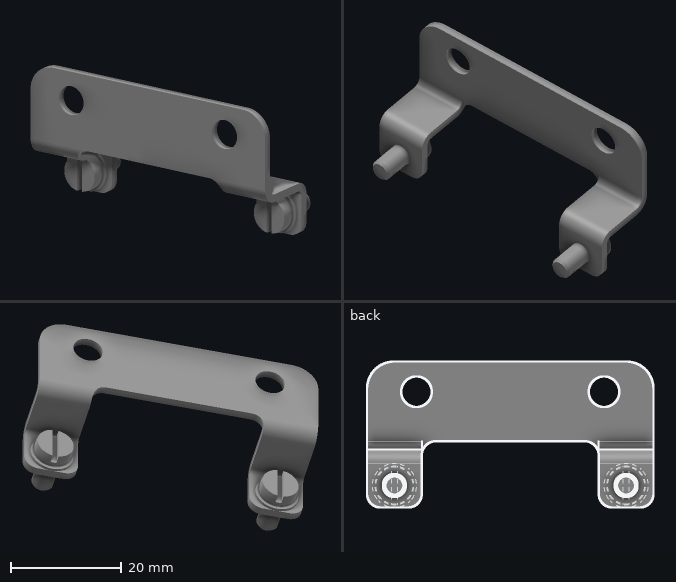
import cadquery as cq
import math


bracket_length = 52.0
bracket_height = 26.5
bracket_depth = 13.0
sheet = 1.5
plate_bend_inner = 1.5
tab_bend_inner = 1.0
plate_bend_outer = plate_bend_inner + sheet
tab_bend_outer = tab_bend_inner + sheet
plate_bend_angle = 225
tab_bend_angle = 45
web_bottom = 9.0
web_top = web_bottom + sheet
plate_bottom = web_bottom + plate_bend_outer
tab_front = bracket_depth - sheet
tab_width = 10.0
tab_corner_radius = 2.5
notch_corner_radius = 2.5
plate_corner_radius = 5.0

mount_hole_diameter = 5.5
mount_hole_spacing = 34.0
mount_hole_drop = 5.5

screw_spacing = bracket_length - tab_width
screw_height = 4.0
screw_xs = (-screw_spacing / 2, screw_spacing / 2)
clearance_diameter = 4.2
washer_diameter = 8.0
washer_thickness = 0.5
washer_front = tab_front - washer_thickness
shank_diameter = 4.0
shank_tip = 19.0
tip_chamfer_length = 0.45
tip_chamfer_depth = 0.35
head_rim_diameter = 6.75
head_belly_diameter = 7.0
head_height = 2.65
head_front = washer_front - head_height
slot_width = 1.1
slot_depth = 1.55


def arc_middle(centre_y, centre_z, radius, degrees):
    """Point on a bend arc at the given angle, measured from +Y towards +Z."""
    angle = math.radians(degrees)
    return (centre_y + radius * math.cos(angle), centre_z + radius * math.sin(angle))


def rod_along_y(x, z, diameter, y_start, y_end):
    """Cylinder lying along Y."""
    return cq.Workplane(
        cq.Solid.makeCylinder(diameter / 2, y_end - y_start, cq.Vector(x, y_start, z), cq.Vector(0, 1, 0))
    )


def make_bent_sheet():
    """Z-shaped section of plate, web and tab, extruded over the full length."""
    plate_bend_y, plate_bend_z = plate_bend_outer, plate_bottom
    tab_bend_y, tab_bend_z = bracket_depth - tab_bend_outer, web_top - tab_bend_outer
    plate_arc_middle_outer = arc_middle(plate_bend_y, plate_bend_z, plate_bend_outer, plate_bend_angle)
    plate_arc_middle_inner = arc_middle(plate_bend_y, plate_bend_z, plate_bend_inner, plate_bend_angle)
    tab_arc_middle_outer = arc_middle(tab_bend_y, tab_bend_z, tab_bend_outer, tab_bend_angle)
    tab_arc_middle_inner = arc_middle(tab_bend_y, tab_bend_z, tab_bend_inner, tab_bend_angle)
    return (
        cq.Workplane("YZ", origin=(-bracket_length / 2, 0, 0))
        .moveTo(0, bracket_height)
        .lineTo(0, plate_bend_z)
        .threePointArc(plate_arc_middle_outer, (plate_bend_y, web_bottom))
        .lineTo(tab_bend_y, web_bottom)
        .threePointArc(tab_arc_middle_inner, (tab_front, tab_bend_z))
        .lineTo(tab_front, 0)
        .lineTo(bracket_depth, 0)
        .lineTo(bracket_depth, tab_bend_z)
        .threePointArc(tab_arc_middle_outer, (tab_bend_y, web_top))
        .lineTo(plate_bend_y, web_top)
        .threePointArc(plate_arc_middle_inner, (sheet, plate_bend_z))
        .lineTo(sheet, bracket_height)
        .close()
        .extrude(bracket_length)
    )


def make_front_outline():
    """Block with the bracket's front outline: rounded plate on top, one tab at each end.

    The notch between the tabs has rounded upper corners only within the plate's thickness;
    behind the plate its sides are straight.
    """
    notch_width = bracket_length - 2 * tab_width
    block = cq.Workplane("XY").box(
        bracket_length, bracket_depth, bracket_height, centered=(True, False, False)
    )
    front_notch = cq.Workplane("XY").box(notch_width, sheet, plate_bottom, centered=(True, False, False))
    front_notch = front_notch.edges("|Y and >Z").fillet(notch_corner_radius)
    rear_notch = (
        cq.Workplane("XY")
        .box(notch_width, bracket_depth - sheet, plate_bottom, centered=(True, False, False))
        .translate((0, sheet, 0))
    )
    outline = block.edges("|Y and >Z").fillet(plate_corner_radius).cut(front_notch).cut(rear_notch)
    return outline.edges("|Y and <Z").fillet(tab_corner_radius)


def make_bracket():
    bracket = make_bent_sheet().intersect(make_front_outline())
    for x in (-mount_hole_spacing / 2, mount_hole_spacing / 2):
        mount_z = bracket_height - mount_hole_drop
        bracket = bracket.cut(rod_along_y(x, mount_z, mount_hole_diameter, 0, sheet))
    for x in screw_xs:
        bracket = bracket.cut(rod_along_y(x, screw_height, clearance_diameter, tab_front, bracket_depth))
    return bracket


def make_washer(x):
    disc = rod_along_y(x, screw_height, washer_diameter, washer_front, tab_front)
    return disc.cut(rod_along_y(x, screw_height, clearance_diameter, washer_front, tab_front))


def make_screw(x):
    """Slotted screw with a barrel-shaped head; the shank tip is chamfered."""
    head = (
        cq.Workplane("XY")
        .moveTo(0, head_front)
        .lineTo(head_rim_diameter / 2, head_front)
        .threePointArc(
            (head_belly_diameter / 2, head_front + head_height / 2), (head_rim_diameter / 2, washer_front)
        )
        .lineTo(0, washer_front)
        .close()
        .revolve(360, (0, 0, 0), (0, 1, 0))
        .translate((x, 0, screw_height))
    )
    shank = rod_along_y(x, screw_height, shank_diameter, washer_front, shank_tip)
    shank = shank.faces("%Cylinder").edges(">Y").chamfer(tip_chamfer_length, tip_chamfer_depth)
    slot = (
        cq.Workplane("XY")
        .box(slot_width, slot_depth, head_belly_diameter, centered=(True, False, True))
        .translate((x, head_front, screw_height))
    )
    return head.union(shank).cut(slot)


bracket = make_bracket()
washers = [make_washer(x) for x in screw_xs]
screws = [make_screw(x) for x in screw_xs]

result = cq.Compound.makeCompound([body.solids().val() for body in (bracket, *washers, *screws)])